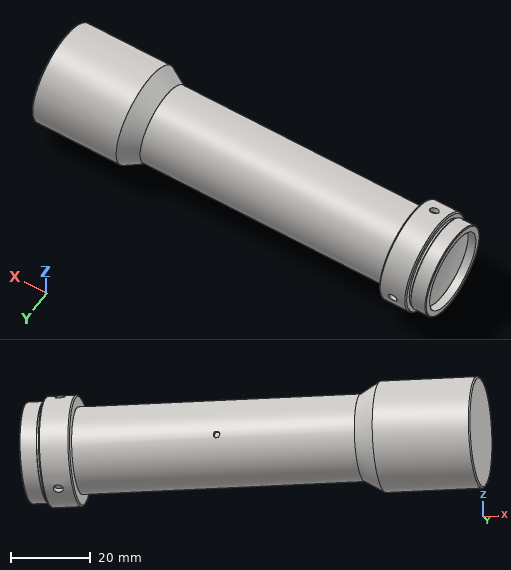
import cadquery as cq
import math

length = 115.4
head_radius = 14.02
edge_chamfer = 0.3

rim_radius = 12.8
rim_chamfer = 0.2
rim_end = 4.4
groove_radius = 12.5
collar_start = 5.1
collar_end = 13.0

tube_radius = 11.02
cone_start = 85.3
cone_end = 90.5

lens_radius = 11.0
recess_depth = 2.3
dome_height = 0.8

screw_count = 3
screw_diameter = 2.4
screw_depth = 1.4
screw_x = 9.0
first_screw_angle = 65.5

pin_diameter = 1.6
pin_depth = 1.2
pin_x = 50.1


def make_barrel():
    """Revolve the whole stepped profile, including the lens, about X."""
    sphere_radius = (lens_radius**2 + dome_height**2) / (2 * dome_height)
    half_angle = math.asin(lens_radius / sphere_radius) / 2
    crown_x = recess_depth - dome_height
    arc_middle = (
        crown_x + sphere_radius * (1 - math.cos(half_angle)),
        sphere_radius * math.sin(half_angle),
    )
    return (
        cq.Workplane("XY")
        .moveTo(crown_x, 0)
        .threePointArc(arc_middle, (recess_depth, lens_radius))
        .lineTo(0, lens_radius)
        .lineTo(0, rim_radius - rim_chamfer)
        .lineTo(rim_chamfer, rim_radius)
        .lineTo(rim_end, rim_radius)
        .lineTo(rim_end, groove_radius)
        .lineTo(collar_start, groove_radius)
        .lineTo(collar_start, head_radius - edge_chamfer)
        .lineTo(collar_start + edge_chamfer, head_radius)
        .lineTo(collar_end - edge_chamfer, head_radius)
        .lineTo(collar_end, head_radius - edge_chamfer)
        .lineTo(collar_end, tube_radius)
        .lineTo(cone_start, tube_radius)
        .lineTo(cone_end, head_radius)
        .lineTo(length - edge_chamfer, head_radius)
        .lineTo(length, head_radius - edge_chamfer)
        .lineTo(length, 0)
        .close()
        .revolve(360, (0, 0, 0), (1, 0, 0))
    )


def radial_hole(x, angle, surface_radius, diameter, depth):
    """Blind-hole cutter pointing at the axis; angle is measured from -Y towards +Z."""
    outward = cq.Vector(0, -math.cos(math.radians(angle)), math.sin(math.radians(angle)))
    clearance = 1.2
    start = cq.Vector(x, 0, 0) + outward * (surface_radius + clearance)
    return cq.Solid.makeCylinder(diameter / 2, depth + clearance, start, outward * -1)


result = make_barrel()
for index in range(screw_count):
    screw_angle = first_screw_angle + index * 360 / screw_count
    result = result.cut(radial_hole(screw_x, screw_angle, head_radius, screw_diameter, screw_depth))
result = result.cut(radial_hole(pin_x, 0, tube_radius, pin_diameter, pin_depth))